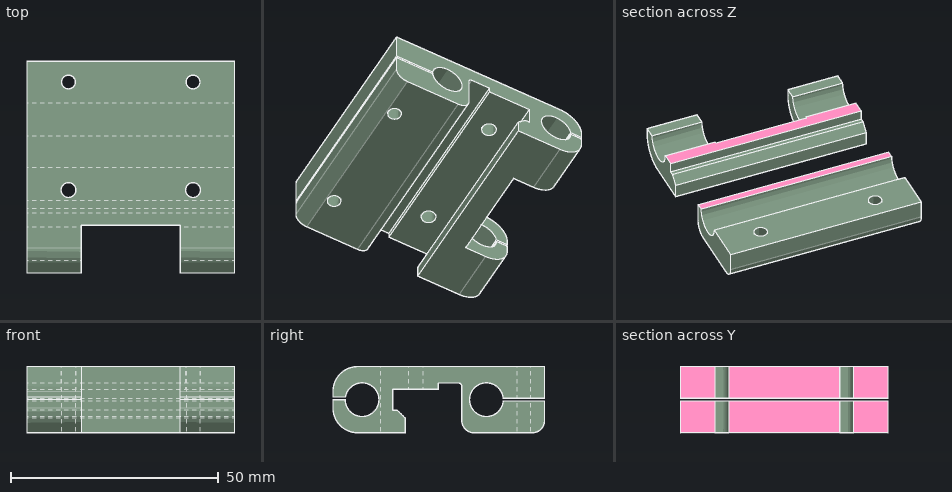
import cadquery as cq

width = 50.0
length = 51.0
height = 16.0
back = length / 2
front = -length / 2
mid_height = height / 2

back_block_length = 20.0
channel_height = 12.0
channel_step_height = 10.5
channel_step_from_back = 25.6
channel_front_from_back = 36.55
channel_corner_radius = 0.7

lip_from_back = 33.55
lip_height = 5.5
lip_chamfer = 1.95

front_radius = 6.0
back_block_radius = 3.0

bore_diameter = 8.05
back_bore_from_back = 14.0
front_bore_from_front = 7.05
slit_width = 0.6
back_slit_bottom = mid_height - slit_width / 2
front_slit_bottom = mid_height

notch_width = 23.75
notch_depth = 11.5

hole_spacing_x = 30.0
back_hole_from_back = 5.0
hole_spacing_y = 26.0
back_hole_diameter = 3.25
front_hole_diameter = 3.5


def make_body():
    """Extrude the side profile across the full width."""
    channel_back = back - back_block_length
    channel_step = back - channel_step_from_back
    channel_front = back - channel_front_from_back
    lip = back - lip_from_back
    body = (
        cq.Workplane("YZ")
        .moveTo(back, 0)
        .lineTo(back, height)
        .lineTo(front, height)
        .lineTo(front, 0)
        .lineTo(lip, 0)
        .lineTo(lip, lip_height - lip_chamfer)
        .lineTo(lip - lip_chamfer, lip_height)
        .lineTo(channel_front, lip_height)
        .lineTo(channel_front, channel_step_height)
        .lineTo(channel_step, channel_step_height)
        .lineTo(channel_step, channel_height)
        .lineTo(channel_back, channel_height)
        .lineTo(channel_back, 0)
        .close()
        .extrude(width / 2, both=True)
    )
    body = body.faces("<Y").edges("|X").fillet(front_radius)
    bottom_edges = [(0, back, 0), (0, channel_back, 0)]
    for edge_point in bottom_edges:
        body = body.edges(cq.NearestToPointSelector(edge_point)).fillet(back_block_radius)
    channel_corner = cq.NearestToPointSelector((0, channel_back, channel_height))
    return body.edges(channel_corner).fillet(channel_corner_radius)


def clamp_cut(bore_y, outer_y, slit_bottom):
    """Rod bore plus the slit that opens it to the nearby outer face."""
    bore = (
        cq.Workplane("YZ")
        .center(bore_y, mid_height)
        .circle(bore_diameter / 2)
        .extrude(width / 2, both=True)
    )
    slit = (
        cq.Workplane("YZ")
        .center((bore_y + outer_y) / 2, slit_bottom + slit_width / 2)
        .rect(abs(outer_y - bore_y), slit_width)
        .extrude(width / 2, both=True)
    )
    return bore.union(slit)


def hole_pair(hole_y, diameter):
    """Two vertical through holes, symmetric in X."""
    hole_x = hole_spacing_x / 2
    return (
        cq.Workplane("XY")
        .pushPoints([(-hole_x, hole_y), (hole_x, hole_y)])
        .circle(diameter / 2)
        .extrude(height)
    )


notch = cq.Workplane("XY").box(notch_width, notch_depth, height, centered=(True, False, False))
notch = notch.translate((0, front, 0))

back_hole_y = back - back_hole_from_back
front_hole_y = back_hole_y - hole_spacing_y

result = (
    make_body()
    .cut(clamp_cut(back - back_bore_from_back, back, back_slit_bottom))
    .cut(clamp_cut(front + front_bore_from_front, front, front_slit_bottom))
    .cut(notch)
    .cut(hole_pair(back_hole_y, back_hole_diameter))
    .cut(hole_pair(front_hole_y, front_hole_diameter))
)